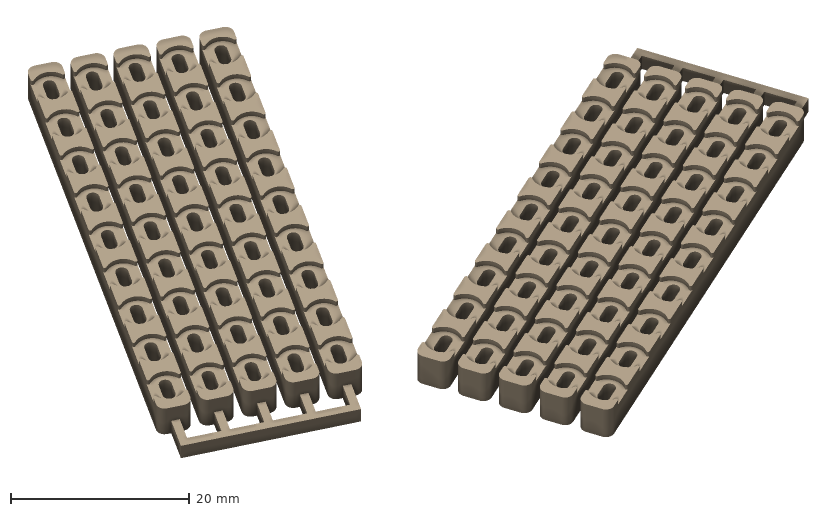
import cadquery as cq
import math

total_length = 59.0
total_width = 24.0
total_height = 4.2

strip_count = 5
strip_length = 55.0
strip_width = 4.0
strip_corner_radius = 1.0
strip_pitch = (total_width - strip_width) / (strip_count - 1)

slot_count = 9
slot_length = 3.0
slot_width = 1.5
slot_end_margin = 3.5
slot_pitch = (strip_length - 2 * slot_end_margin) / (slot_count - 1)
recess_radius = 2.1
recess_depth = 0.7
lip_radius = 0.2

connector_height = 2.0
bar_width = 1.0

strip_centers = [(i - (strip_count - 1) / 2) * strip_pitch for i in range(strip_count)]
slot_centers = [(slot_end_margin + i * slot_pitch, 0) for i in range(slot_count)]


def recess_cutter(center):
    """Round recess open to both strip sides, with the tips at its openings rounded."""
    half_width = strip_width / 2
    tip_center_y = half_width - lip_radius
    tip_center_x = math.sqrt((recess_radius + lip_radius) ** 2 - tip_center_y**2)
    tangent_ratio = recess_radius / (recess_radius + lip_radius)
    tangent_x = tip_center_x * tangent_ratio
    tangent_y = tip_center_y * tangent_ratio

    start_angle = math.atan2(-tip_center_y, -tip_center_x)
    end_angle = -1.5 * math.pi
    middle_angle = (start_angle + end_angle) / 2
    middle_x = tip_center_x + lip_radius * math.cos(middle_angle)
    middle_y = tip_center_y + lip_radius * math.sin(middle_angle)

    return (
        cq.Workplane("XY", origin=(center[0], center[1], total_height - recess_depth))
        .moveTo(tangent_x, -tangent_y)
        .threePointArc((recess_radius, 0), (tangent_x, tangent_y))
        .threePointArc((middle_x, middle_y), (tip_center_x, half_width))
        .lineTo(-tip_center_x, half_width)
        .threePointArc((-middle_x, middle_y), (-tangent_x, tangent_y))
        .threePointArc((-recess_radius, 0), (-tangent_x, -tangent_y))
        .threePointArc((-middle_x, -middle_y), (-tip_center_x, -half_width))
        .lineTo(tip_center_x, -half_width)
        .threePointArc((middle_x, -middle_y), (tangent_x, -tangent_y))
        .close()
        .extrude(recess_depth)
    )


def make_strip():
    """One strip along X, centred on Y = 0, with its through slots and recesses."""
    strip = (
        cq.Workplane("XY")
        .box(strip_length, strip_width, total_height, centered=(False, True, False))
        .edges("|Z")
        .fillet(strip_corner_radius)
    )
    slots = (
        cq.Workplane("XY")
        .pushPoints(slot_centers)
        .slot2D(slot_length, slot_width)
        .extrude(total_height)
    )
    strip = strip.cut(slots)
    for center in slot_centers:
        strip = strip.cut(recess_cutter(center))
    return strip


def make_connector():
    """Cross bar at the +X end with one arm reaching to the middle of each strip end."""
    bar_length = strip_centers[-1] - strip_centers[0] + bar_width
    arm_length = total_length - strip_length
    connector = cq.Workplane("XY", origin=(total_length - bar_width, 0, 0)).box(
        bar_width, bar_length, connector_height, centered=(False, True, False)
    )
    for y in strip_centers:
        arm = cq.Workplane("XY", origin=(strip_length, y, 0)).box(
            arm_length, bar_width, connector_height, centered=(False, True, False)
        )
        connector = connector.union(arm)
    return connector


strip = make_strip()
result = make_connector()
for y in strip_centers:
    result = result.union(strip.translate((0, y, 0)))